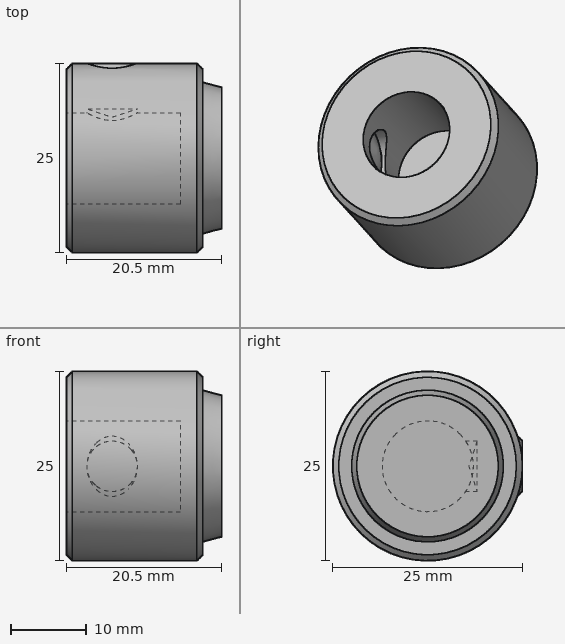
import cadquery as cq
import math

body_diameter = 25.0
body_length = 18.0
body_chamfer = 0.8

nose_base_diameter = 20.0
nose_length = 2.5
nose_taper_angle = 15.0

bore_diameter = 12.0
bore_depth = 15.0

screw_x = 6.0
screw_diameter = 8.0
screw_core_diameter = 6.65
tip_y = 5.42
tip_half_angle = 72.0
screw_radius = screw_diameter / 2
screw_core_radius = screw_core_diameter / 2
screw_chamfer = screw_radius - screw_core_radius
screw_outer_y = body_diameter / 2
cone_base_y = tip_y + screw_core_radius / math.tan(math.radians(tip_half_angle))


def make_body():
    body_radius = body_diameter / 2
    rim_radius = body_radius - body_chamfer
    nose_base_radius = nose_base_diameter / 2
    nose_end_radius = nose_base_radius - nose_length * math.tan(math.radians(nose_taper_angle))
    total_length = body_length + nose_length
    profile = (
        cq.Workplane("XY")
        .moveTo(0, 0)
        .lineTo(0, rim_radius)
        .lineTo(body_chamfer, body_radius)
        .lineTo(body_length - body_chamfer, body_radius)
        .lineTo(body_length, rim_radius)
        .lineTo(body_length, nose_base_radius)
        .lineTo(total_length, nose_end_radius)
        .lineTo(total_length, 0)
        .close()
    )
    return profile.revolve(360, (0, 0, 0), (1, 0, 0))


def make_bore():
    return cq.Workplane("YZ").circle(bore_diameter / 2).extrude(bore_depth)


def revolve_about_screw_axis(points):
    """Turn a profile of (radius, Y) points about the screw axis."""
    placed_points = [(screw_x + radius, y) for radius, y in points]
    profile = cq.Workplane("XY").polyline(placed_points).close()
    return profile.revolve(360, (screw_x, 0, 0), (screw_x, 1, 0))


def make_screw_hole():
    """Plain hole from the bore axis to the base of the cone point."""
    return revolve_about_screw_axis([
        (0, 0),
        (screw_core_radius, 0),
        (screw_core_radius, cone_base_y),
        (0, cone_base_y),
    ])


def make_screw():
    """Solid screw with a cone point, its chamfered outer end level with the top of the body."""
    return revolve_about_screw_axis([
        (0, tip_y),
        (screw_core_radius, cone_base_y),
        (screw_radius, cone_base_y + screw_chamfer),
        (screw_radius, screw_outer_y - screw_chamfer),
        (screw_core_radius, screw_outer_y),
        (0, screw_outer_y),
    ])


result = make_body().cut(make_bore()).cut(make_screw_hole()).union(make_screw())